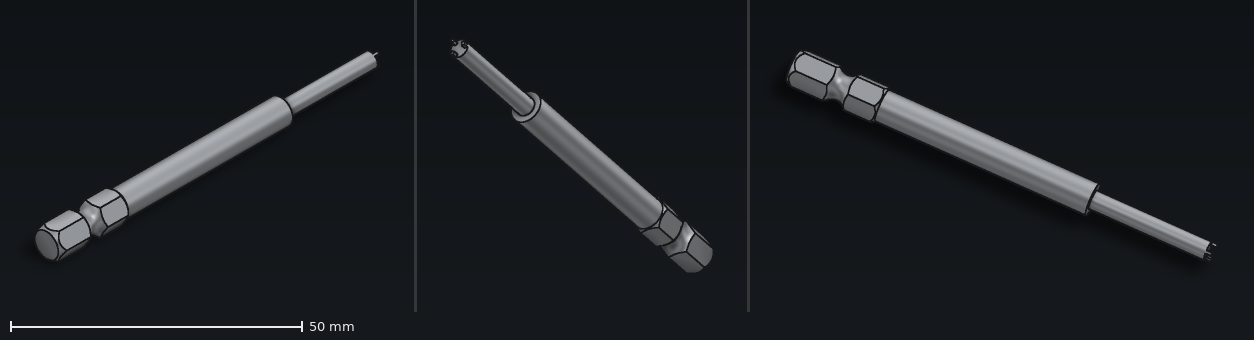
import cadquery as cq
import math

total_length = 80.0
hex_sides = 6
hex_across_flats = 6.3
hex_length = 17.0
body_diameter = 6.0
shaft_diameter = 3.5
shaft_length = 23.0

pin_count = 3
pin_length = 1.0
pin_width = 0.6
pin_depth = 0.6
first_pin_angle = 180.0

groove_centre = 9.3
groove_floor_radius = 2.4
groove_arc_radius = 2.2
end_face_radius = 2.9
end_chamfer_angle = 30.0
shoulder_face_radius = body_diameter / 2
shoulder_chamfer_angle = 45.0

hex_across_corners = hex_across_flats / math.cos(math.pi / hex_sides)
corner_radius = hex_across_corners / 2
shank_end_y = -total_length / 2
hex_end_y = shank_end_y + hex_length
tip_end_y = total_length / 2
shoulder_y = tip_end_y - shaft_length
pin_root_y = tip_end_y - pin_length


def section_plane(y):
    """Plane across the tool at the given Y, with local x = X, local y = Z and normal toward -Y."""
    return cq.Workplane("XZ", origin=(0, y, 0))


def cylinder(diameter, start_y, end_y):
    return section_plane(start_y).circle(diameter / 2).extrude(start_y - end_y)


def make_hex_shank():
    """Hex bar with both ends turned to a cone and a round-bottomed retaining groove."""
    bar = section_plane(shank_end_y).polygon(hex_sides, hex_across_corners).extrude(-hex_length)

    end_chamfer = (corner_radius - end_face_radius) / math.tan(math.radians(end_chamfer_angle))
    shoulder_chamfer = (corner_radius - shoulder_face_radius) / math.tan(math.radians(shoulder_chamfer_angle))
    envelope = (
        cq.Workplane("XY")
        .moveTo(0, shank_end_y)
        .lineTo(end_face_radius, shank_end_y)
        .lineTo(corner_radius, shank_end_y + end_chamfer)
        .lineTo(corner_radius, hex_end_y - shoulder_chamfer)
        .lineTo(shoulder_face_radius, hex_end_y)
        .lineTo(0, hex_end_y)
        .close()
        .revolve(360, (0, 0, 0), (0, 1, 0))
    )

    ring_radius = groove_floor_radius + groove_arc_radius
    ring_axis = cq.Vector(0, 1, 0)
    ring_centre = cq.Vector(0, shank_end_y + groove_centre, 0)
    groove = cq.Solid.makeTorus(ring_radius, groove_arc_radius, ring_centre, ring_axis)
    return bar.intersect(envelope).cut(groove)


def make_pins():
    """Evenly spaced pins on the tip, flat-sided but following the shaft's outer surface."""
    shaft_radius = shaft_diameter / 2
    blocks = (
        section_plane(pin_root_y)
        .polarArray(shaft_radius - pin_depth / 2, first_pin_angle, 360, pin_count)
        .rect(pin_depth, pin_width)
        .extrude(-pin_length)
    )
    return blocks.intersect(cylinder(shaft_diameter, pin_root_y, tip_end_y))


body = cylinder(body_diameter, hex_end_y, shoulder_y)
shaft = cylinder(shaft_diameter, shoulder_y, pin_root_y)

result = make_hex_shank().union(body).union(shaft).union(make_pins())